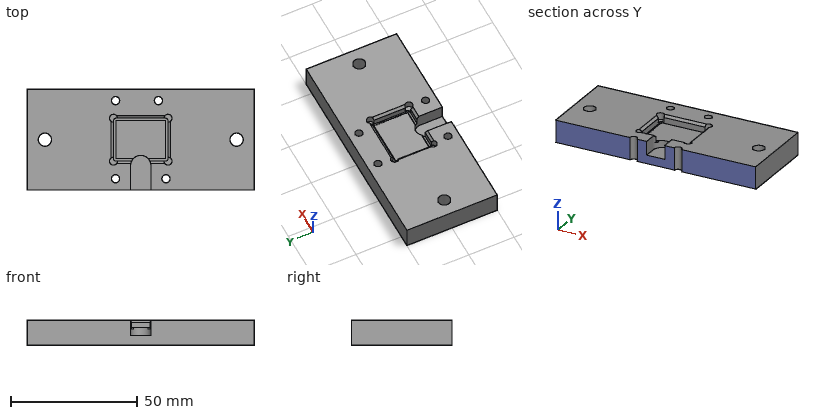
import cadquery as cq

LENGTH = 90.0
WIDTH = 40.0
THICKNESS = 10.0

MOUNT_DIAMETER = 5.1
MOUNT_OFFSET = 38.0
SCREW_DIAMETER = 3.15
SCREW_X = 10.0
SCREW_Y = 15.5
SHIFTED_SCREW_X = 7.0

POCKET_LENGTH = 21.6
POCKET_WIDTH = 17.0
FLOOR_DEPTH = 3.0
GROOVE_DEPTH = 3.5
GROOVE_WIDTH = 1.0
FLOOR_LENGTH = POCKET_LENGTH - 2 * GROOVE_WIDTH
FLOOR_WIDTH = POCKET_WIDTH - 2 * GROOVE_WIDTH
RIM_CHAMFER = 1.0
RELIEF_DIAMETER = 3.15

SLOT_WIDTH = 8.0
SLOT_DEPTH = 6.0
SLOT_END_Y = -6.2


def cylinders(points, diameter, depth):
    """Cylinders reaching down from the top face."""
    return (
        cq.Workplane("XY", origin=(0, 0, THICKNESS))
        .pushPoints(points)
        .circle(diameter / 2)
        .extrude(-depth)
    )


def block(length, width, bottom, top):
    """Centred block between two heights."""
    return cq.Workplane("XY", origin=(0, 0, bottom)).rect(length, width).extrude(top - bottom)


def pocket():
    """Pocket with a chamfered rim, round corner reliefs and a flat floor."""
    cavity = block(POCKET_LENGTH, POCKET_WIDTH, THICKNESS - FLOOR_DEPTH, THICKNESS)
    rim = (
        cq.Workplane("XY", origin=(0, 0, THICKNESS))
        .rect(POCKET_LENGTH + 2 * RIM_CHAMFER, POCKET_WIDTH + 2 * RIM_CHAMFER)
        .extrude(-RIM_CHAMFER, taper=45)
    )
    corners = [(x * POCKET_LENGTH / 2, y * POCKET_WIDTH / 2) for x in (-1, 1) for y in (-1, 1)]
    reliefs = cylinders(corners, RELIEF_DIAMETER, FLOOR_DEPTH)
    return cavity.union(rim).union(reliefs)


def groove():
    """Groove around the pocket floor, sharp inside and rounded at its outer corners."""
    bottom = THICKNESS - GROOVE_DEPTH
    top = THICKNESS - FLOOR_DEPTH
    outer = block(POCKET_LENGTH, POCKET_WIDTH, bottom, top)
    floor = block(FLOOR_LENGTH, FLOOR_WIDTH, bottom, top)
    return outer.edges("|Z").fillet(GROOVE_WIDTH).cut(floor)


def slot():
    """Slot from the front side to its round end inside the pocket."""
    radius = SLOT_WIDTH / 2
    front = -WIDTH / 2
    straight_end = SLOT_END_Y - radius
    return (
        cq.Workplane("XY", origin=(0, 0, THICKNESS))
        .moveTo(-radius, front)
        .lineTo(-radius, straight_end)
        .threePointArc((0, SLOT_END_Y), (radius, straight_end))
        .lineTo(radius, front)
        .close()
        .extrude(-SLOT_DEPTH)
    )


mount_points = [(-MOUNT_OFFSET, 0), (MOUNT_OFFSET, 0)]
screw_points = [
    (-SCREW_X, -SCREW_Y),
    (SCREW_X, -SCREW_Y),
    (-SCREW_X, SCREW_Y),
    (SHIFTED_SCREW_X, SCREW_Y),
]

result = (
    block(LENGTH, WIDTH, 0, THICKNESS)
    .cut(cylinders(mount_points, MOUNT_DIAMETER, THICKNESS))
    .cut(cylinders(screw_points, SCREW_DIAMETER, THICKNESS))
    .cut(pocket())
    .cut(groove())
    .cut(slot())
)